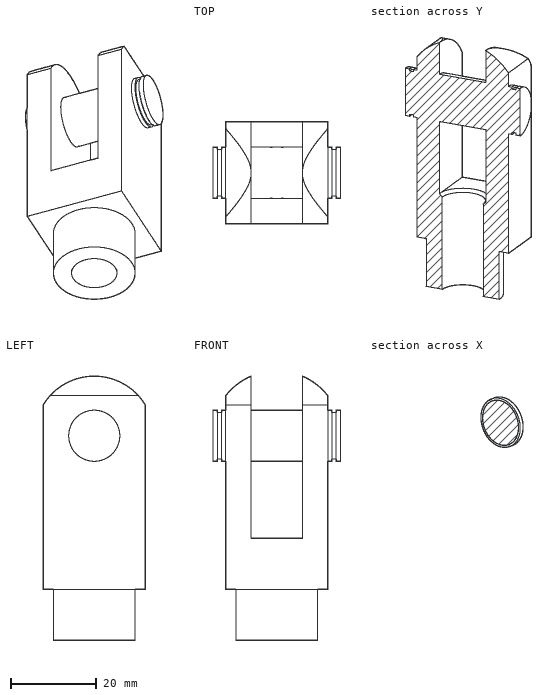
import cadquery as cq
import math

BODY_WIDTH = 24.0
BODY_BOTTOM = 12.0
TOTAL_HEIGHT = 62.0
SLOT_WIDTH = BODY_WIDTH / 2
SLOT_FLOOR = 2 * BODY_BOTTOM

STEM_DIAMETER = 19.2
CORE_HOLE_DIAMETER = 10.65
HOLE_CHAMFER = 0.75

PIN_HEIGHT = 48.0
PIN_DIAMETER = 12.0
PIN_LENGTH = 30.0
GROOVE_DIAMETER = 11.0
GROOVE_WIDTH = 1.0
GROOVE_END_DISTANCE = 1.1

CROWN_RADIUS_ABOUT_X = TOTAL_HEIGHT - PIN_HEIGHT
CROWN_RADIUS_ABOUT_Y = math.hypot(SLOT_WIDTH / 2, CROWN_RADIUS_ABOUT_X)


def domed_prism(plane, radius):
    """Prism with the body's square plan whose top is an arc seen along the plane normal."""
    half = BODY_WIDTH / 2
    shoulder = PIN_HEIGHT + math.sqrt(radius**2 - half**2)
    return (
        cq.Workplane(plane)
        .moveTo(-half, BODY_BOTTOM)
        .lineTo(half, BODY_BOTTOM)
        .lineTo(half, shoulder)
        .threePointArc((0, PIN_HEIGHT + radius), (-half, shoulder))
        .close()
        .extrude(half, both=True)
    )


def make_fork():
    """Square body with doubly rounded arms, a slot along Y and a stem below."""
    body = domed_prism("YZ", CROWN_RADIUS_ABOUT_X)
    body = body.intersect(domed_prism("XZ", CROWN_RADIUS_ABOUT_Y))
    slot = (
        cq.Workplane("XY", origin=(0, 0, SLOT_FLOOR))
        .rect(SLOT_WIDTH, BODY_WIDTH)
        .extrude(TOTAL_HEIGHT - SLOT_FLOOR)
    )
    stem = cq.Workplane("XY").circle(STEM_DIAMETER / 2).extrude(BODY_BOTTOM)
    return body.cut(slot).union(stem)


def make_core_hole():
    """Through hole from the stem end to the slot floor, with a 45 degree countersink at the floor."""
    hole_radius = CORE_HOLE_DIAMETER / 2
    rim_radius = hole_radius + HOLE_CHAMFER
    return (
        cq.Workplane("XZ")
        .moveTo(0, 0)
        .lineTo(hole_radius, 0)
        .lineTo(hole_radius, SLOT_FLOOR - HOLE_CHAMFER)
        .lineTo(rim_radius, SLOT_FLOOR)
        .lineTo(0, SLOT_FLOOR)
        .close()
        .revolve(360, (0, 0), (0, 1))
    )


def x_cylinder(diameter, start, length):
    """Cylinder on the pin axis, running from start towards +X."""
    return (
        cq.Workplane("YZ", origin=(start, 0, PIN_HEIGHT))
        .circle(diameter / 2)
        .extrude(length)
    )


def make_pin():
    """Pin with a retaining ring groove near each end."""
    pin = x_cylinder(PIN_DIAMETER, -PIN_LENGTH / 2, PIN_LENGTH)
    groove_outer = PIN_LENGTH / 2 - GROOVE_END_DISTANCE
    for start in (-groove_outer, groove_outer - GROOVE_WIDTH):
        ring = x_cylinder(PIN_DIAMETER, start, GROOVE_WIDTH)
        core = x_cylinder(GROOVE_DIAMETER, start, GROOVE_WIDTH)
        pin = pin.cut(ring.cut(core))
    return pin


result = make_fork().cut(make_core_hole()).union(make_pin())